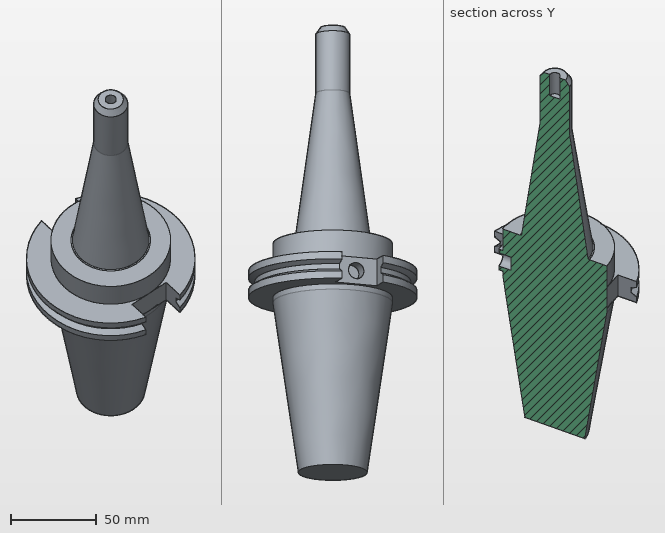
import cadquery as cq

total_height = 266.7

taper_height = 101.5
taper_bottom_diameter = 40.3
gauge_radius = 35.0
gauge_land_height = 3.2

flange_diameter = 98.5
flange_height = 16.0
groove_radius = 45.5
groove_floor_height = 3.2
groove_mouth_height = 7.2

collar_height = 16.3
neck_base_radius = 22.5
neck_top_z = 227.2

foot_radius = 23.2
foot_height = 0.3

nose_diameter = 20.0
nose_chamfer_width = 2.7
nose_chamfer_height = 4.0
nose_hole_diameter = 6.5
nose_hole_depth = 16.0

slot_width = 26.0
left_slot_floor = 37.3
right_slot_floor = 35.0
slot_hole_diameter = 9.5
slot_hole_depth = 8.0

taper_bottom_radius = taper_bottom_diameter / 2
flange_radius = flange_diameter / 2
nose_radius = nose_diameter / 2

flange_bottom = taper_height + gauge_land_height
flange_top = flange_bottom + flange_height
flange_middle = flange_bottom + flange_height / 2
collar_top = flange_top + collar_height


def make_body():
    """Turned half profile revolved about Z, including the flange V-groove."""
    profile = [
        (0, 0),
        (taper_bottom_radius, 0),
        (gauge_radius, taper_height),
        (gauge_radius, flange_bottom),
        (flange_radius, flange_bottom),
        (flange_radius, flange_middle - groove_mouth_height / 2),
        (groove_radius, flange_middle - groove_floor_height / 2),
        (groove_radius, flange_middle + groove_floor_height / 2),
        (flange_radius, flange_middle + groove_mouth_height / 2),
        (flange_radius, flange_top),
        (gauge_radius, flange_top),
        (gauge_radius, collar_top),
        (foot_radius, collar_top),
        (neck_base_radius, collar_top + foot_height),
        (nose_radius, neck_top_z),
        (nose_radius, total_height - nose_chamfer_height),
        (nose_radius - nose_chamfer_width, total_height),
        (0, total_height),
    ]
    return cq.Workplane("XZ").polyline(profile).close().revolve(360, (0, 0), (0, 1))


def drive_slot(floor_distance, side):
    """Cutter for a slot in the flange rim; side is -1 for -X and +1 for +X."""
    depth = flange_radius - floor_distance
    center_x = side * (floor_distance + depth / 2)
    return cq.Workplane("XY").box(depth, slot_width, flange_height).translate((center_x, 0, flange_middle))


def slot_hole():
    """Cutter for the blind radial hole in the floor of the -X slot."""
    return (
        cq.Workplane("YZ", origin=(-left_slot_floor, 0, flange_middle))
        .circle(slot_hole_diameter / 2)
        .extrude(slot_hole_depth)
    )


def nose_hole():
    """Cutter for the blind axial hole in the nose."""
    return (
        cq.Workplane("XY", origin=(0, 0, total_height))
        .circle(nose_hole_diameter / 2)
        .extrude(-nose_hole_depth)
    )


result = (
    make_body()
    .cut(drive_slot(left_slot_floor, -1))
    .cut(drive_slot(right_slot_floor, 1))
    .cut(slot_hole())
    .cut(nose_hole())
)